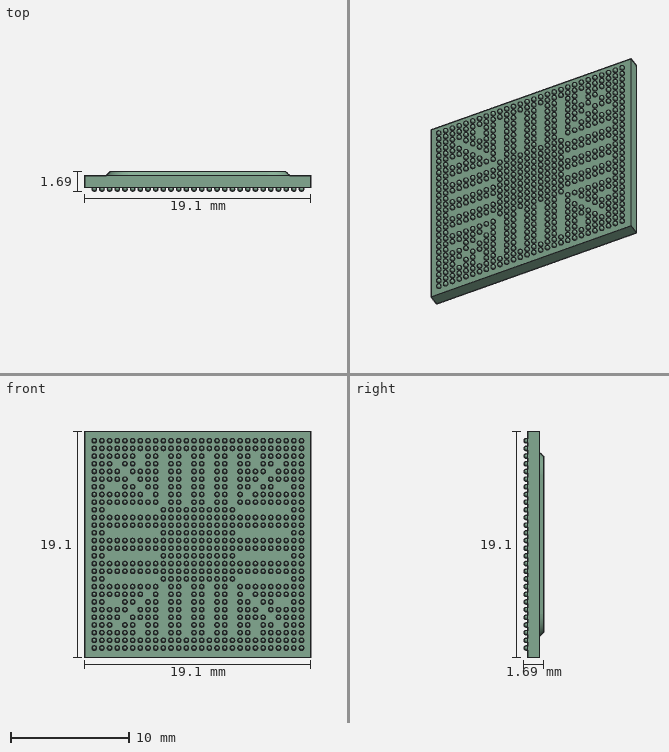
import cadquery as cq
import math

side = 19.15
total_thickness = 1.69
board_thickness = 1.01
ball_standoff = 0.3
cap_height = total_thickness - board_thickness - ball_standoff

cap_side = 15.55
cap_corner_radius = 1.88
cap_wall_height = 0.02

balls_per_side = 28
grid_margin = 0.8
ball_pitch = (side - 2 * grid_margin) / (balls_per_side - 1)
ball_diameter = 0.4

QUARTER_GRID = (
    "##############",
    "##############",
    "######.##.##.#",
    "###.##.##.##.#",
    "####.####.##.#",
    "#####.###.##.#",
    "##..##.##.##.#",
    "#######.#.##.#",
    "#########.##.#",
    "##.......#####",
    "##############",
    "##############",
    "##.......#####",
    "##############",
)


def make_board():
    """Square board with its ball face on the plane Y = 0."""
    return cq.Workplane("XY").box(side, board_thickness, side, centered=(True, False, True))


def make_cap():
    """Moulded cap with round corners and a 45 degree chamfer above a low wall, on the +Y face."""
    return (
        cq.Workplane("XY", origin=(0, board_thickness, 0))
        .box(cap_side, cap_height, cap_side, centered=(True, False, True))
        .edges("|Y")
        .fillet(cap_corner_radius)
        .faces(">Y")
        .chamfer(cap_height - cap_wall_height)
    )


def ball_centres():
    """X and Z of every filled site, mirrored from the quarter grid."""
    centres = []
    for row, sites in enumerate(QUARTER_GRID):
        z = side / 2 - grid_margin - row * ball_pitch
        for column, site in enumerate(sites):
            if site == "#":
                x = side / 2 - grid_margin - column * ball_pitch
                centres += [(x, z), (x, -z), (-x, z), (-x, -z)]
    return centres


def make_ball():
    """Solder ball cut off flat on the plane Y = 0, turned about the Y axis."""
    radius = ball_diameter / 2
    centre_y = radius - ball_standoff
    seat_radius = math.sqrt(radius**2 - centre_y**2)
    return (
        cq.Workplane("XY")
        .moveTo(0, -ball_standoff)
        .threePointArc((radius, centre_y), (seat_radius, 0))
        .lineTo(0, 0)
        .close()
        .revolve(360, (0, 0, 0), (0, 1, 0))
        .val()
    )


body = make_board().union(make_cap()).val()
ball = make_ball()
balls = [ball.translate(cq.Vector(x, 0, z)) for x, z in ball_centres()]
result = cq.Workplane(body.fuse(*balls))